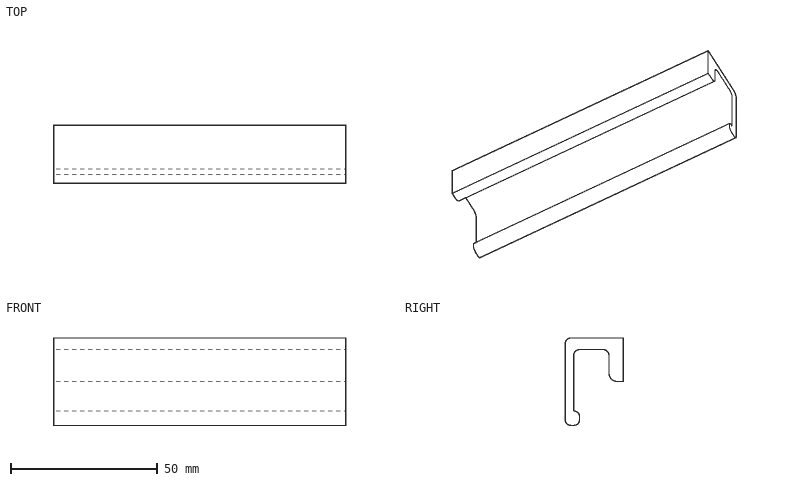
import cadquery as cq

length = 100.0
width = 20.0
height = 30.0

front_wall = 3.0
top_web = 4.0
rear_leg = 5.0
rear_leg_height = 15.0

bead_width = 5.0
bead_height = 5.0

corner_radius = 2.0
rear_leg_radius = 3.0
bead_radius = bead_width - front_wall

rear_leg_bottom = height - rear_leg_height
rear_leg_inside = width - rear_leg
web_underside = height - top_web


def section_blank():
    """Section with only the top of the bead rounded, in the YZ plane, extruded along X."""
    return (
        cq.Workplane("YZ")
        .moveTo(0, 0)
        .lineTo(0, height)
        .lineTo(width, height)
        .lineTo(width, rear_leg_bottom)
        .lineTo(rear_leg_inside, rear_leg_bottom)
        .lineTo(rear_leg_inside, web_underside)
        .lineTo(front_wall, web_underside)
        .lineTo(front_wall, bead_height)
        .radiusArc((bead_width, bead_height - bead_radius), bead_radius)
        .lineTo(bead_width, 0)
        .close()
        .extrude(length)
    )


def round_edges(body, points, radius):
    """Fillet the lengthwise edges that pass through the given (y, z) points."""
    for y, z in points:
        edge = cq.selectors.NearestToPointSelector((length / 2, y, z))
        body = body.edges("|X").edges(edge).fillet(radius)
    return body


rounded_corners = [
    (0, height),
    (0, 0),
    (bead_width, 0),
    (front_wall, web_underside),
    (rear_leg_inside, web_underside),
]

result = round_edges(section_blank(), rounded_corners, corner_radius)
result = round_edges(result, [(rear_leg_inside, rear_leg_bottom)], rear_leg_radius)